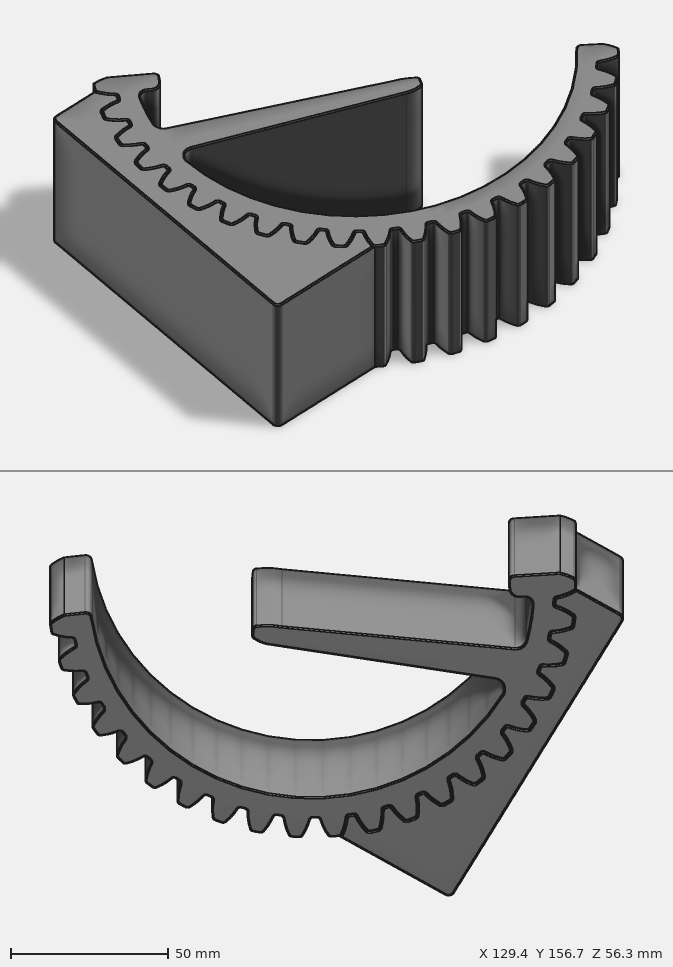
import cadquery as cq
import math

HEIGHT = 56.3
EDGE_CHAMFER = 0.5

BORE_RADIUS = 70.5
ROOT_RADIUS = 77.4
MID_RADIUS = 81.2
TIP_RADIUS = 84.2
FULL_TOOTH_COUNT = 42
TOOTH_PITCH = 360 / FULL_TOOTH_COUNT
TOOTH_PHASE = -1.2
FIRST_TOOTH = -14
LAST_TOOTH = 6
END_MARGIN = 2.9
ROOT_WIDTH = 8.8
MID_WIDTH = 6.7
TIP_WIDTH = 3.8
TOOTH_TIP_FILLET = 1.3
TOOTH_ROOT_FILLET = 1.0
RIM_END_FILLET = 2.0

HOOK_WIDTH = 7.5
HOOK_TIP_RADIUS = 62.7
HOOK_OUTER_FILLET = 1.9
HOOK_INNER_FILLET = 3.1
HOOK_NECK_FILLET = 2.5

ARM_LEFT = (10.7, -9.9)
ARM_RIGHT = (18.8, -9.9)
ARM_LEFT_RUN = 0.46
ARM_RIGHT_RUN = 0.39
ARM_FOOT_Y = -73.7
ARM_SHOULDER_Y = 1.5
ARM_TIP_LEFT = (20.5, 9.5)
ARM_TIP_RIGHT = (24.0, 8.0)
ARM_TIP_BULGE = 0.5
ARM_TIP_FILLET = 1.4
ARM_FOOT_FILLET = 3.5

BASE_LEFT = -42.2
BASE_LENGTH = 109.9
BASE_BOTTOM = -91.0
BASE_BLANK_WIDTH = 46.0
BASE_CORNER_FILLET = 2.0

START_ANGLE = TOOTH_PHASE + FIRST_TOOTH * TOOTH_PITCH - END_MARGIN
END_ANGLE = TOOTH_PHASE + LAST_TOOTH * TOOTH_PITCH + END_MARGIN
TOLERANCE = 0.02


def polar(radius, angle):
    """Point at a distance from the gear axis, in a direction given in degrees."""
    return (radius * math.cos(math.radians(angle)), radius * math.sin(math.radians(angle)))


def fillet_at(solid, points, radius):
    """Round the vertical edges nearest to the given points."""
    for x, y in points:
        nearest = cq.selectors.NearestToPointSelector((x, y, HEIGHT / 2))
        solid = solid.edges("|Z").edges(nearest).fillet(radius)
    return solid


def fillet_at_radius(solid, distance, radius):
    """Round the vertical edges that lie at one distance from the gear axis."""
    edges = solid.edges("|Z").filter(
        lambda edge: abs(math.hypot(edge.Center().x, edge.Center().y) - distance) < TOLERANCE
    )
    return edges.fillet(radius)


def tooth_point(radius, width, angle, side):
    """Point on one flank of the tooth that points in a direction."""
    half_angle = math.degrees(math.asin(width / 2 / radius))
    return polar(radius, angle + side * half_angle)


def toothed_disc():
    """The full external gear, without its bore."""
    outline = cq.Workplane("XY").moveTo(*tooth_point(ROOT_RADIUS, ROOT_WIDTH, TOOTH_PHASE, -1))
    for number in range(FULL_TOOTH_COUNT):
        angle = TOOTH_PHASE + number * TOOTH_PITCH
        next_angle = angle + TOOTH_PITCH
        outline = (
            outline.threePointArc(
                tooth_point(MID_RADIUS, MID_WIDTH, angle, -1),
                tooth_point(TIP_RADIUS, TIP_WIDTH, angle, -1),
            )
            .threePointArc(polar(TIP_RADIUS, angle), tooth_point(TIP_RADIUS, TIP_WIDTH, angle, 1))
            .threePointArc(
                tooth_point(MID_RADIUS, MID_WIDTH, angle, 1),
                tooth_point(ROOT_RADIUS, ROOT_WIDTH, angle, 1),
            )
            .threePointArc(
                polar(ROOT_RADIUS, angle + TOOTH_PITCH / 2),
                tooth_point(ROOT_RADIUS, ROOT_WIDTH, next_angle, -1),
            )
        )
    disc = outline.close().extrude(HEIGHT)
    disc = fillet_at_radius(disc, TIP_RADIUS, TOOTH_TIP_FILLET)
    return fillet_at_radius(disc, ROOT_RADIUS, TOOTH_ROOT_FILLET)


def sector():
    """Wedge about the gear axis that keeps the built part of the gear."""
    reach = 2 * TIP_RADIUS
    return (
        cq.Workplane("XY")
        .lineTo(*polar(reach, START_ANGLE))
        .threePointArc(polar(reach, (START_ANGLE + END_ANGLE) / 2), polar(reach, END_ANGLE))
        .close()
        .extrude(HEIGHT)
    )


def hook():
    """Straight bar that runs inward from the start of the rim, with a rounded tip."""
    inside_rim = (BORE_RADIUS + ROOT_RADIUS) / 2
    bar = (
        cq.Workplane("XY")
        .moveTo(HOOK_TIP_RADIUS, 0)
        .lineTo(inside_rim, 0)
        .lineTo(inside_rim, HOOK_WIDTH)
        .lineTo(HOOK_TIP_RADIUS, HOOK_WIDTH)
        .close()
        .extrude(HEIGHT)
    )
    bar = fillet_at(bar, [(HOOK_TIP_RADIUS, 0)], HOOK_OUTER_FILLET)
    bar = fillet_at(bar, [(HOOK_TIP_RADIUS, HOOK_WIDTH)], HOOK_INNER_FILLET)
    return bar.rotate((0, 0, 0), (0, 0, 1), START_ANGLE)


def arm_side(point, run, y):
    """Point at a given Y on a flat side of the arm."""
    return (point[0] + run * (y - point[1]), y)


def arm():
    """Tapered arm whose sides curve in to a narrow tip."""
    left_shoulder = arm_side(ARM_LEFT, ARM_LEFT_RUN, ARM_SHOULDER_Y)
    right_shoulder = arm_side(ARM_RIGHT, ARM_RIGHT_RUN, ARM_SHOULDER_Y)
    left_middle = (
        (left_shoulder[0] + ARM_TIP_LEFT[0]) / 2 - ARM_TIP_BULGE,
        (left_shoulder[1] + ARM_TIP_LEFT[1]) / 2,
    )
    right_middle = (
        (right_shoulder[0] + ARM_TIP_RIGHT[0]) / 2 + ARM_TIP_BULGE,
        (right_shoulder[1] + ARM_TIP_RIGHT[1]) / 2,
    )
    body = (
        cq.Workplane("XY")
        .moveTo(*arm_side(ARM_LEFT, ARM_LEFT_RUN, ARM_FOOT_Y))
        .lineTo(*left_shoulder)
        .threePointArc(left_middle, ARM_TIP_LEFT)
        .lineTo(*ARM_TIP_RIGHT)
        .threePointArc(right_middle, right_shoulder)
        .lineTo(*arm_side(ARM_RIGHT, ARM_RIGHT_RUN, ARM_FOOT_Y))
        .close()
        .extrude(HEIGHT)
    )
    return fillet_at(body, [ARM_TIP_LEFT, ARM_TIP_RIGHT], ARM_TIP_FILLET)


def make_gear_sector(disc):
    """Toothed rim with its hook and arm."""
    bore = cq.Workplane("XY").circle(BORE_RADIUS).extrude(HEIGHT)
    foot_left = arm_side(ARM_LEFT, ARM_LEFT_RUN, -BORE_RADIUS)
    foot_right = arm_side(ARM_RIGHT, ARM_RIGHT_RUN, -BORE_RADIUS)
    neck_angle = START_ANGLE + math.degrees(math.asin(HOOK_WIDTH / BORE_RADIUS))

    gear = disc.intersect(sector()).cut(bore).union(hook()).union(arm())
    gear = fillet_at(gear, [polar(BORE_RADIUS, END_ANGLE)], RIM_END_FILLET)
    gear = fillet_at(gear, [polar(BORE_RADIUS, neck_angle)], HOOK_NECK_FILLET)
    gear = fillet_at(gear, [foot_left, foot_right], ARM_FOOT_FILLET)
    return gear.faces("<Z or >Z").chamfer(EDGE_CHAMFER)


def make_base(disc):
    """Block under the gear, with a recess that matches the teeth."""
    block = (
        cq.Workplane("XY")
        .moveTo(BASE_LEFT, BASE_BOTTOM)
        .rect(BASE_LENGTH, BASE_BLANK_WIDTH, centered=False)
        .extrude(HEIGHT)
    )
    block = block.edges("|Z and <Y").fillet(BASE_CORNER_FILLET)
    block = block.cut(disc).solids("<Y")
    return block.faces("<Z or >Z").chamfer(EDGE_CHAMFER)


gear_disc = toothed_disc()
gear_sector = make_gear_sector(gear_disc)
base = make_base(gear_disc)

result = cq.Compound.makeCompound([gear_sector.val(), base.val()])